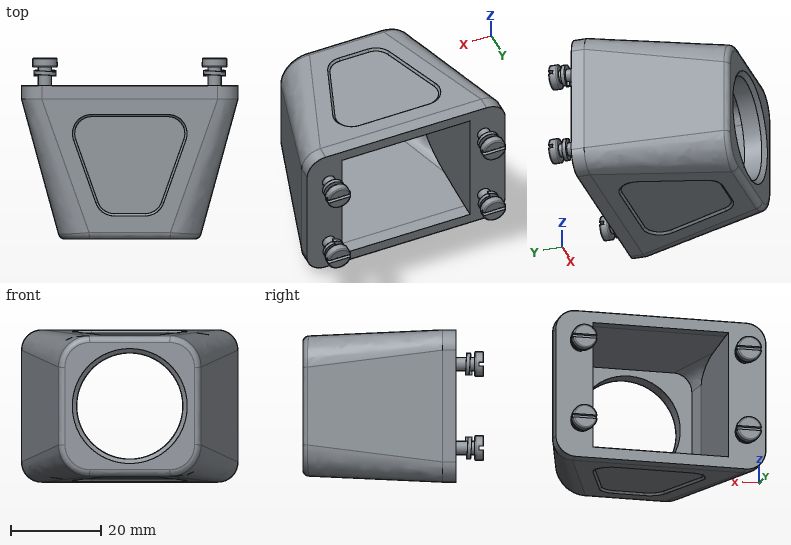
import cadquery as cq
import math

FLANGE_WIDTH = 48.0
FLANGE_HEIGHT = 33.8
FLANGE_CORNER_RADIUS = 4.5
FLANGE_THICKNESS = 3.0
FRONT_SIZE = 31.0
FRONT_CORNER_RADIUS = 7.0
FRONT_EDGE_FILLET = 1.5
BODY_DEPTH = 34.0
TAPER_DEPTH = BODY_DEPTH - FLANGE_THICKNESS

ENTRY_DIAMETER = 23.5
ENTRY_CHAMFER = 1.0
FRONT_WALL = 5.0

WALL = 2.5
CAVITY_WIDTH_LIMIT = 31.0

PANEL_MARGIN = 3.6
PANEL_BACK = 6.4
PANEL_FRONT = 28.9
PANEL_CORNER_RADIUS = 4.25
PANEL_DEPTH = 0.5
PANEL_WALL_DRAFT = 45.0

SCREW_SPACING_X = 37.6
SCREW_SPACING_Z = 18.6
SCREW_PROTRUSION = 6.12
SCREW_EMBEDMENT = 3.0
SHANK_DIAMETER = 3.0
HEAD_DIAMETER = 5.5
HEAD_HEIGHT = 2.0
HEAD_EDGE_RADIUS = 0.3
SLOT_WIDTH = 0.8
SLOT_DEPTH = 1.0
WASHER_DIAMETER = 4.9
WASHER_THICKNESS = 0.85
WASHER_PITCH = 0.62
WASHER_START = 2.05
WASHER_OVERLAP = 0.1


def rounded_rectangle(width, height, radius):
    return cq.Sketch().rect(width, height).vertices().fillet(radius)


def hood_shape(inset):
    """Straight flange and ruled taper, with every side moved inwards by inset."""
    base = rounded_rectangle(
        FLANGE_WIDTH - 2 * inset,
        FLANGE_HEIGHT - 2 * inset,
        FLANGE_CORNER_RADIUS - inset,
    )
    tip = rounded_rectangle(
        FRONT_SIZE - 2 * inset,
        FRONT_SIZE - 2 * inset,
        FRONT_CORNER_RADIUS - inset,
    )
    flange = cq.Workplane("XZ").placeSketch(base).extrude(FLANGE_THICKNESS)
    tip_location = cq.Location(cq.Vector(0, 0, TAPER_DEPTH))
    taper = (
        cq.Workplane("XZ", origin=(0, -FLANGE_THICKNESS, 0))
        .placeSketch(base, tip.moved(tip_location))
        .loft(ruled=True)
    )
    return flange.union(taper)


def make_cavity():
    cavity_depth = BODY_DEPTH - FRONT_WALL
    limit = cq.Workplane("XZ").rect(CAVITY_WIDTH_LIMIT, FLANGE_HEIGHT).extrude(cavity_depth)
    return hood_shape(WALL).intersect(limit)


def make_entry():
    radius = ENTRY_DIAMETER / 2
    bore = cq.Workplane("XZ").circle(radius).extrude(BODY_DEPTH)
    countersink = cq.Solid.makeCone(
        radius + ENTRY_CHAMFER,
        radius,
        ENTRY_CHAMFER,
        pnt=cq.Vector(0, -BODY_DEPTH, 0),
        dir=cq.Vector(0, 1, 0),
    )
    return bore.union(cq.Workplane(countersink))


def make_panel_recess():
    """Tapered trapezoid sunk into the upper face, with sides parallel to the edges of the face."""
    edge_back = FLANGE_WIDTH / 2 - FLANGE_CORNER_RADIUS
    edge_front = FRONT_SIZE / 2 - FRONT_CORNER_RADIUS
    side_slope = (edge_back - edge_front) / TAPER_DEPTH
    margin_x = PANEL_MARGIN * math.hypot(1, side_slope)

    def half_width(distance):
        return edge_front + side_slope * (BODY_DEPTH - distance) - margin_x

    y_back = FLANGE_THICKNESS - PANEL_BACK
    y_front = FLANGE_THICKNESS - PANEL_FRONT
    x_back = half_width(PANEL_BACK)
    x_front = half_width(PANEL_FRONT)
    corners = [
        (-x_back, y_back),
        (-x_front, y_front),
        (x_front, y_front),
        (x_back, y_back),
        (-x_back, y_back),
    ]
    outline = cq.Sketch().polygon(corners).vertices().fillet(PANEL_CORNER_RADIUS)
    drop = (FLANGE_HEIGHT - FRONT_SIZE) / 2
    face_plane = cq.Plane(
        origin=(0, -FLANGE_THICKNESS, FLANGE_HEIGHT / 2),
        xDir=(1, 0, 0),
        normal=(0, -drop, TAPER_DEPTH),
    )
    return cq.Workplane(face_plane).placeSketch(outline).extrude(-PANEL_DEPTH, taper=PANEL_WALL_DRAFT)


def make_washer():
    """One left-hand turn of rectangular wire around Z, split at -Y."""
    inner_radius = SHANK_DIAMETER / 2 - WASHER_OVERLAP
    outer_radius = WASHER_DIAMETER / 2
    wire_width = outer_radius - inner_radius
    mid_radius = (outer_radius + inner_radius) / 2
    path = cq.Wire.makeHelix(WASHER_PITCH, WASHER_PITCH, mid_radius, lefthand=True)
    coil = (
        cq.Workplane("XZ")
        .center(mid_radius, 0)
        .rect(wire_width, WASHER_THICKNESS)
        .sweep(cq.Workplane(path), isFrenet=True)
    )
    return coil.rotate((0, 0, 0), (0, 0, 1), -90).translate((0, 0, WASHER_START + WASHER_THICKNESS / 2))


def make_screw():
    """Screw along Z, with the flange surface at Z = 0 and the slot along X."""
    shank = (
        cq.Workplane("XY", origin=(0, 0, -SCREW_EMBEDMENT))
        .circle(SHANK_DIAMETER / 2)
        .extrude(SCREW_EMBEDMENT + SCREW_PROTRUSION - HEAD_HEIGHT)
    )
    head = (
        cq.Workplane("XY", origin=(0, 0, SCREW_PROTRUSION - HEAD_HEIGHT))
        .circle(HEAD_DIAMETER / 2)
        .extrude(HEAD_HEIGHT)
        .edges()
        .fillet(HEAD_EDGE_RADIUS)
    )
    slot = cq.Workplane("XY", origin=(0, 0, SCREW_PROTRUSION - SLOT_DEPTH / 2)).box(
        HEAD_DIAMETER, SLOT_WIDTH, SLOT_DEPTH
    )
    return shank.union(head.cut(slot)).union(make_washer())


def make_screws():
    """Four screws pointing along +Y; the washer splits face the middle of the hood."""
    upright = make_screw().rotate((0, 0, 0), (1, 0, 0), -90)
    upper = upright.rotate((0, 0, 0), (0, 1, 0), 180)
    screws = []
    for side in (-1, 1):
        x = side * SCREW_SPACING_X / 2
        screws.append(upper.translate((x, 0, SCREW_SPACING_Z / 2)))
        screws.append(upright.translate((x, 0, -SCREW_SPACING_Z / 2)))
    return screws


body = hood_shape(0).faces("<Y").edges().fillet(FRONT_EDGE_FILLET)
body = body.cut(make_cavity()).cut(make_entry())

upper_panel = make_panel_recess()
body = body.cut(upper_panel).cut(upper_panel.mirror("XY"))

for screw in make_screws():
    body = body.union(screw)

result = cq.Workplane(body.solids().val())